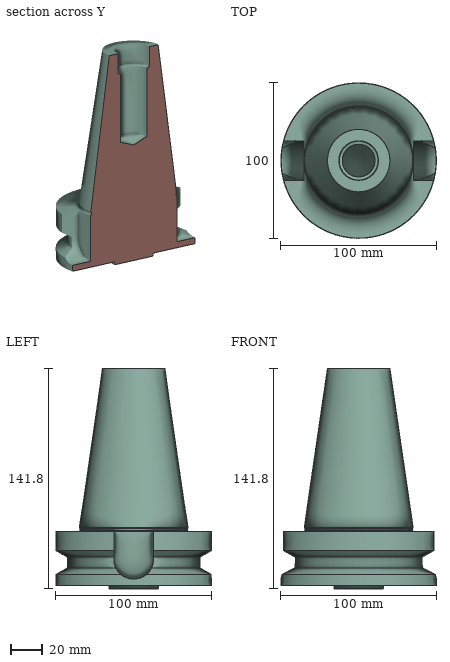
import cadquery as cq
import math


GAUGE_DIA = 69.85
TAPER_RATIO = 7 / 24
TAPER_LENGTH = 101.8
TAPER_OVERRUN = 0.5
SMALL_END_DIA = GAUGE_DIA - TAPER_LENGTH * TAPER_RATIO
LARGE_END_DIA = GAUGE_DIA + TAPER_OVERRUN * TAPER_RATIO

NECK_DIA = 69.4
NECK_TOP = -1.3
NECK_FOOT_CHAMFER = 0.5
FLANGE_TOP = -3.0

FLANGE_DIA = 99.97
FLANGE_BOTTOM = -38.0
GROOVE_CENTER = -23.1
GROOVE_FLOOR_DIA = 85.3
GROOVE_FLOOR_WIDTH = 7.0
GROOVE_FLANK_ANGLE = 30.0

BOSS_DIA = 32.0
BOSS_HEIGHT = 2.0
BOSS_CHAMFER = 0.5

PILOT_BORE_DIA = 25.02
PILOT_BORE_DEPTH = 11.0
RELIEF_DIA = 25.47
RELIEF_DEPTH = 13.3
STUD_HOLE_DIA = 21.0
STUD_HOLE_DEPTH = 60.0
CONE_ANGLE = 140.0

SLOT_WIDTH = 25.5
SLOT_FLOOR_OFFSET = 35.3
SLOT_BOTTOM = -33.7


def make_body():
    """Revolved taper, neck, grooved flange and pilot boss."""
    flange_r = FLANGE_DIA / 2
    floor_r = GROOVE_FLOOR_DIA / 2
    neck_r = NECK_DIA / 2
    boss_r = BOSS_DIA / 2
    boss_bottom = FLANGE_BOTTOM - BOSS_HEIGHT
    floor_half = GROOVE_FLOOR_WIDTH / 2
    flank_height = (flange_r - floor_r) * math.tan(math.radians(GROOVE_FLANK_ANGLE))
    mouth_half = floor_half + flank_height
    outline = [
        (0, TAPER_LENGTH),
        (SMALL_END_DIA / 2, TAPER_LENGTH),
        (LARGE_END_DIA / 2, -TAPER_OVERRUN),
        (neck_r, NECK_TOP),
        (neck_r, FLANGE_TOP + NECK_FOOT_CHAMFER),
        (neck_r + NECK_FOOT_CHAMFER, FLANGE_TOP),
        (flange_r, FLANGE_TOP),
        (flange_r, GROOVE_CENTER + mouth_half),
        (floor_r, GROOVE_CENTER + floor_half),
        (floor_r, GROOVE_CENTER - floor_half),
        (flange_r, GROOVE_CENTER - mouth_half),
        (flange_r, FLANGE_BOTTOM),
        (boss_r, FLANGE_BOTTOM),
        (boss_r, boss_bottom + BOSS_CHAMFER),
        (boss_r - BOSS_CHAMFER, boss_bottom),
        (0, boss_bottom),
    ]
    return cq.Workplane("XZ").polyline(outline).close().revolve(360, (0, 0), (0, 1))


def make_bore():
    """Blind bore with an undercut, a conical step and a conical end, as a solid to remove."""
    pilot_r = PILOT_BORE_DIA / 2
    hole_r = STUD_HOLE_DIA / 2
    relief_r = RELIEF_DIA / 2
    pilot_end_z = TAPER_LENGTH - PILOT_BORE_DEPTH
    relief_end_z = TAPER_LENGTH - RELIEF_DEPTH
    hole_end_z = TAPER_LENGTH - STUD_HOLE_DEPTH
    cone_slope = 1 / math.tan(math.radians(CONE_ANGLE / 2))
    step_height = (relief_r - hole_r) * cone_slope
    point_height = hole_r * cone_slope
    outline = [
        (0, TAPER_LENGTH),
        (pilot_r, TAPER_LENGTH),
        (pilot_r, pilot_end_z),
        (relief_r, pilot_end_z),
        (relief_r, relief_end_z),
        (hole_r, relief_end_z - step_height),
        (hole_r, hole_end_z),
        (0, hole_end_z - point_height),
    ]
    return cq.Workplane("XZ").polyline(outline).close().revolve(360, (0, 0), (0, 1))


def make_drive_slot():
    """Round-bottomed slot on the +X side, open at the flange top and rim."""
    half_width = SLOT_WIDTH / 2
    arc_center_z = SLOT_BOTTOM + half_width
    slot_depth = FLANGE_DIA / 2 - SLOT_FLOOR_OFFSET
    return (
        cq.Workplane("YZ", origin=(SLOT_FLOOR_OFFSET, 0, 0))
        .moveTo(-half_width, FLANGE_TOP)
        .lineTo(-half_width, arc_center_z)
        .threePointArc((0, SLOT_BOTTOM), (half_width, arc_center_z))
        .lineTo(half_width, FLANGE_TOP)
        .close()
        .extrude(slot_depth)
    )


drive_slot = make_drive_slot()
result = make_body().cut(make_bore())
for slot_angle in (0, 180):
    result = result.cut(drive_slot.rotate((0, 0, 0), (0, 0, 1), slot_angle))